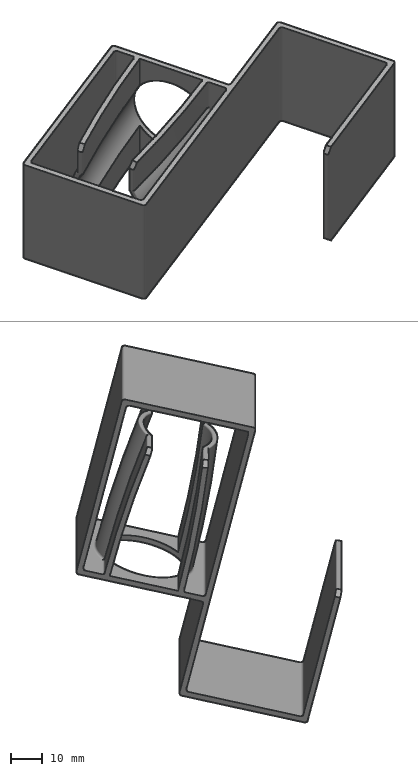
import cadquery as cq
import math

total_x = 83.4
total_y = 96.6
height = 40.0
wall = 1.8
box_x = 43.5
box_y = 63.0
hook_leg = 47.0
corner_radius = 1.0
end_chamfer = 1.9
edge_round = 0.5

bore_diameter = 28.0
arm_gap = 22.2
arm_length = 45.8
arm_bend_radius = 357.4
arm_root_round = 0.7

left = -total_x / 2
right = total_x / 2
front = -total_y / 2
back = total_y / 2
half_height = height / 2
box_right = left + box_x
box_back = front + box_y
box_center_x = left + box_x / 2
arm_root_y = box_back - wall
bore_radius = bore_diameter / 2


def block(x0, x1, y0, y1):
    """Full-height block between two X and two Y positions."""
    return (
        cq.Workplane("XY", origin=(0, 0, -half_height))
        .moveTo((x0 + x1) / 2, (y0 + y1) / 2)
        .rect(x1 - x0, y1 - y0)
        .extrude(height)
    )


def make_frame():
    """Rectangular box ring and U-shaped hook, with rounded corners."""
    outer = block(left, box_right, front, box_back)
    outer = outer.union(block(box_right - wall, right, back - hook_leg, back))
    cavity = block(left + wall, box_right - wall, front + wall, arm_root_y)
    hook_opening = block(box_right, right - wall, back - hook_leg, back - wall)
    frame = outer.cut(cavity).cut(hook_opening)

    free_end_y = back - hook_leg
    free_end = cq.selectors.BoxSelector(
        (right - 2 * wall, free_end_y - wall, -height),
        (right + wall, free_end_y + wall, height),
    )
    upright = cq.selectors.ParallelDirSelector(cq.Vector(0, 0, 1))
    frame = frame.edges(upright - free_end).fillet(corner_radius)
    tip = frame.faces(cq.selectors.NearestToPointSelector((right - wall / 2, free_end_y, 0)))
    frame = tip.edges("|X").chamfer(end_chamfer)
    tip = frame.faces(cq.selectors.NearestToPointSelector((right - wall / 2, free_end_y, 0)))
    return tip.edges("|Z").fillet(edge_round)


def make_arm():
    """Left arm: a strip with an outward round bulge, swept about a distant upright axis."""
    flat_x = arm_gap / 2
    inner_z = math.sqrt(bore_radius**2 - flat_x**2)
    outer_radius = bore_radius + wall
    outer_x = flat_x + wall
    outer_z = math.sqrt(outer_radius**2 - outer_x**2)
    axis_x = arm_bend_radius - flat_x
    sweep_angle = math.degrees(arm_length / arm_bend_radius)
    arm = (
        cq.Workplane("XZ")
        .moveTo(-flat_x, half_height)
        .lineTo(-flat_x, inner_z)
        .threePointArc((-bore_radius, 0), (-flat_x, -inner_z))
        .lineTo(-flat_x, -half_height)
        .lineTo(-outer_x, -half_height)
        .lineTo(-outer_x, -outer_z)
        .threePointArc((-outer_radius, 0), (-outer_x, outer_z))
        .lineTo(-outer_x, half_height)
        .close()
        .revolve(sweep_angle, (axis_x, 0), (axis_x, 1))
    )
    arm = arm.faces("<Y").edges("<Z or >Z").chamfer(end_chamfer)
    arm = arm.faces("<Y").edges("not(<Z or >Z)").fillet(edge_round)
    return arm.translate((box_center_x, arm_root_y, 0))


def make_bore():
    """Round hole through the back wall, in line with the groove between the arms."""
    return (
        cq.Workplane("XZ", origin=(box_center_x, box_back, 0))
        .circle(bore_radius)
        .extrude(wall)
    )


def round_arm_root(body, side):
    """Fillet where one arm's outer side meets the back wall; side is -1 (left) or 1 (right)."""
    clearance = 0.1
    inner_x = box_center_x + side * (arm_gap / 2 + wall - clearance)
    outer_x = box_center_x + side * (bore_radius + wall + clearance)
    root = cq.selectors.BoxSelector(
        (inner_x, arm_root_y - clearance, -height),
        (outer_x, arm_root_y + clearance, height),
        boundingbox=True,
    )
    return body.edges(root).fillet(arm_root_round)


left_arm = make_arm()
right_arm = left_arm.mirror("YZ", (box_center_x, 0, 0))
result = make_frame().union(left_arm).union(right_arm)
for arm_side in (-1, 1):
    result = round_arm_root(result, arm_side)
result = result.cut(make_bore())